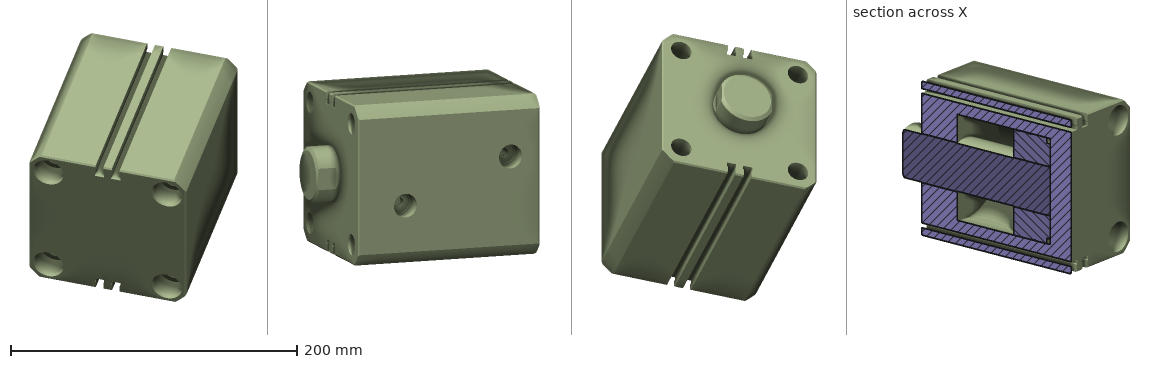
import cadquery as cq
import math


BLOCK_WIDTH = 114.0
BLOCK_LENGTH = 135.0
CORNER_RADIUS = 74.6
EDGE_CHAMFER = 1.0

MOUNT_PITCH = 86.0
MOUNT_DIAMETER = 15.0
COUNTERBORE_DIAMETER = 22.0
COUNTERBORE_DEPTH = 18.0

GROOVE_OFFSET = 5.9
GROOVE_NECK_WIDTH = 5.7
GROOVE_FOOT_WIDTH = 6.8
GROOVE_NECK_DEPTH = 5.6
GROOVE_SHOULDER_DEPTH = 6.2
GROOVE_DEPTH = 9.0

BORE_DIAMETER = 80.0
BORE_START = 19.5
BORE_END = 102.5

CLOSED_END_PORT = (22.0, 15.0)
ROD_END_PORT = (100.0, -15.0)
PORT_MOUTH_DIAMETER = 17.0
PORT_THROAT_DIAMETER = 16.2
PORT_TAPER_DEPTH = 12.0
PORT_DRILL_DIAMETER = 14.7
PORT_DEPTH = 14.0
PORT_PASSAGE_DIAMETER = 7.0

PISTON_LENGTH = 30.0
PISTON_START = CLOSED_END_PORT[0]
PISTON_BOSS_DIAMETER = 73.0

ROD_DIAMETER = 40.0
ROD_PROJECTION = 17.0
ROD_END = BLOCK_LENGTH + ROD_PROJECTION
ROD_CHAMFER_LENGTH = 1.5
ROD_CHAMFER_ANGLE = 30.0
WRENCH_WIDTH = 37.0
WRENCH_LENGTH = 14.0


def cylinder_along_y(diameter, start, end):
    """Cylinder about the Y axis from Y = start to Y = end."""
    return cq.Workplane("XZ", origin=(0, start, 0)).circle(diameter / 2).extrude(start - end)


def make_block():
    """Square block with turned corners and chamfered flat edges at both ends."""
    block = cq.Workplane("XY").box(BLOCK_WIDTH, BLOCK_LENGTH, BLOCK_WIDTH)
    block = block.faces("<Y or >Y").chamfer(EDGE_CHAMFER)
    block = block.translate((0, BLOCK_LENGTH / 2, 0))
    return block.intersect(cylinder_along_y(2 * CORNER_RADIUS, 0, BLOCK_LENGTH))


def mounting_holes():
    """Four counterbored through holes."""
    holes = (
        cq.Workplane("XZ")
        .rect(MOUNT_PITCH, MOUNT_PITCH, forConstruction=True)
        .vertices()
        .circle(MOUNT_DIAMETER / 2)
        .extrude(-BLOCK_LENGTH)
    )
    counterbores = (
        cq.Workplane("XZ")
        .rect(MOUNT_PITCH, MOUNT_PITCH, forConstruction=True)
        .vertices()
        .circle(COUNTERBORE_DIAMETER / 2)
        .extrude(-COUNTERBORE_DEPTH)
    )
    return holes.union(counterbores)


def sensor_groove(side, direction):
    """One T-groove along the block; side = -1 or 1 in X, direction = -1 or 1 in Z."""
    neck = GROOVE_NECK_WIDTH / 2
    foot = GROOVE_FOOT_WIDTH / 2
    surface = BLOCK_WIDTH / 2
    half = [
        (neck, surface),
        (neck, surface - GROOVE_NECK_DEPTH),
        (foot, surface - GROOVE_SHOULDER_DEPTH),
        (foot, surface - GROOVE_DEPTH),
    ]
    outline = half + [(-x, z) for x, z in reversed(half)]
    center = side * GROOVE_OFFSET
    points = [(center + x, direction * z) for x, z in outline]
    return cq.Workplane("XZ").polyline(points).close().extrude(-BLOCK_LENGTH)


def pressure_port(y, z):
    """Tapered port in the -X side with a narrow passage into the chamber."""
    passage = PORT_PASSAGE_DIAMETER / 2
    passage_length = BLOCK_WIDTH / 2 - ROD_DIAMETER / 2
    return (
        cq.Workplane("XY", origin=(-BLOCK_WIDTH / 2, y, z))
        .polyline([
            (0, 0),
            (0, PORT_MOUTH_DIAMETER / 2),
            (PORT_TAPER_DEPTH, PORT_THROAT_DIAMETER / 2),
            (PORT_TAPER_DEPTH, PORT_DRILL_DIAMETER / 2),
            (PORT_DEPTH, PORT_DRILL_DIAMETER / 2),
            (PORT_DEPTH, passage),
            (passage_length, passage),
            (passage_length, 0),
        ])
        .close()
        .revolve(360, (0, 0, 0), (1, 0, 0))
    )


def make_housing():
    housing = make_block().cut(mounting_holes())
    for side in (-1, 1):
        for direction in (-1, 1):
            housing = housing.cut(sensor_groove(side, direction))
    housing = housing.cut(cylinder_along_y(BORE_DIAMETER, BORE_START, BORE_END))
    housing = housing.cut(cylinder_along_y(ROD_DIAMETER, BORE_END, BLOCK_LENGTH))
    for y, z in (CLOSED_END_PORT, ROD_END_PORT):
        housing = housing.cut(pressure_port(y, z))
    return housing


def make_piston():
    """Piston with a reduced end, bored through for the rod."""
    head = cylinder_along_y(BORE_DIAMETER, PISTON_START, PISTON_START + PISTON_LENGTH)
    boss = cylinder_along_y(PISTON_BOSS_DIAMETER, BORE_START, PISTON_START)
    rod_hole = cylinder_along_y(ROD_DIAMETER, BORE_START, PISTON_START + PISTON_LENGTH)
    return head.union(boss).cut(rod_hole)


def make_rod():
    """Round rod, chamfered at its outer end, with two wrench flats facing -X and +X."""
    radius = ROD_DIAMETER / 2
    chamfer_height = ROD_CHAMFER_LENGTH / math.tan(math.radians(ROD_CHAMFER_ANGLE))
    rod = (
        cq.Workplane("XY")
        .polyline([
            (0, BORE_START),
            (radius, BORE_START),
            (radius, ROD_END - ROD_CHAMFER_LENGTH),
            (radius - chamfer_height, ROD_END),
            (0, ROD_END),
        ])
        .close()
        .revolve(360, (0, 0, 0), (0, 1, 0))
    )
    flat = WRENCH_WIDTH / 2
    flat_start = ROD_END - WRENCH_LENGTH
    flat_depth = radius - flat
    for side in (-1, 1):
        cutter = (
            cq.Workplane("XY", origin=(0, 0, -radius))
            .polyline([
                (side * flat, ROD_END),
                (side * flat, flat_start),
                (side * radius, flat_start - flat_depth),
                (side * radius, ROD_END),
            ])
            .close()
            .extrude(ROD_DIAMETER)
        )
        rod = rod.cut(cutter)
    return rod


housing = make_housing()
piston = make_piston()
rod = make_rod()

result = cq.Compound.makeCompound([housing.val(), piston.val(), rod.val()])